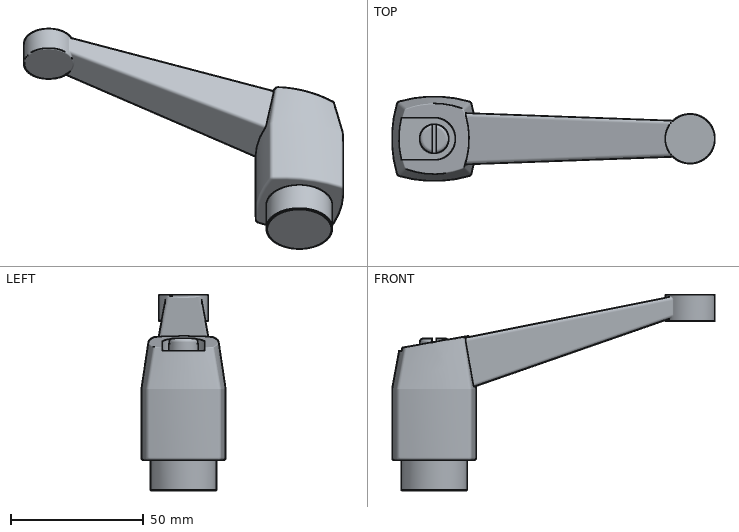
import cadquery as cq
import math


STEM_DIAMETER = 25.0
STEM_CHAMFER = 0.4

HUB_BOTTOM = 11.5
HUB_SHOULDER = 38.5
HUB_HALF_WIDTH = 16.0
HUB_HALF_CORNER = 13.9
HUB_CORNER_RADIUS = 1.7
HUB_BOTTOM_FILLET = 1.0

TOP_HEIGHT_AT_AXIS = 56.2
TOP_SLOPE = 10.0
TOP_HALF_WIDTH = 13.3
TOP_HALF_CORNER = 11.2
TOP_CORNER_RADIUS = 1.4
TOP_EDGE_FILLET = 0.4

RECESS_FLOOR = 52.8
RECESS_RADIUS = 8.0
RECESS_FLOOR_FILLET = 0.5

SCREW_DIAMETER = 11.0
SCREW_TOP = 57.5
SCREW_FILLET = 1.4
DRIVE_SLOT_WIDTH = 1.5
DRIVE_SLOT_DEPTH = 2.0

OVERALL_LENGTH = 122.0
OVERALL_HEIGHT = 74.0
KNOB_DIAMETER = 18.8
KNOB_HEIGHT = 10.0
KNOB_EDGE_FILLET = 0.4
KNOB_X = OVERALL_LENGTH - HUB_HALF_WIDTH - KNOB_DIAMETER / 2
KNOB_BOTTOM = OVERALL_HEIGHT - KNOB_HEIGHT

ARM_ROOT_X = 10.0
ARM_END_X = 91.3
ARM_ROOT_TOP = 57.45
ARM_ROOT_BOTTOM = 37.5
ARM_ROOT_HALF_WIDTH = 9.8
ARM_TOP_SLOPE = 11.3
ARM_BOTTOM_SLOPE = 19.2
ARM_SIDE_SLOPE = 2.1
ARM_TOP_FILLET = 1.5
ARM_BOTTOM_FILLET = 1.2
ARM_KNOB_FILLET = 0.4


def bulged_square(half_width, half_corner, corner_radius):
    """Flat wire of a square with four outward arcs as sides and rounded corners."""
    corners = []
    middles = []
    for quarter in range(4):
        turn = math.radians(90 * quarter)
        corner_turn = turn - math.radians(45)
        diagonal = half_corner * math.sqrt(2)
        corners.append(cq.Vector(diagonal * math.cos(corner_turn), diagonal * math.sin(corner_turn)))
        middles.append(cq.Vector(half_width * math.cos(turn), half_width * math.sin(turn)))
    sides = []
    for quarter in range(4):
        next_corner = corners[(quarter + 1) % 4]
        sides.append(cq.Edge.makeThreePointArc(corners[quarter], middles[quarter], next_corner))
    outline = cq.Wire.assembleEdges(sides)
    return outline.fillet2D(corner_radius, outline.Vertices())


def make_stem():
    stem = cq.Workplane("XY").circle(STEM_DIAMETER / 2).extrude(HUB_BOTTOM)
    return stem.faces("<Z").edges().chamfer(STEM_CHAMFER)


def make_hub():
    outline = bulged_square(HUB_HALF_WIDTH, HUB_HALF_CORNER, HUB_CORNER_RADIUS)
    bottom = outline.translate(cq.Vector(0, 0, HUB_BOTTOM))
    straight_height = cq.Vector(0, 0, HUB_SHOULDER - HUB_BOTTOM)
    straight = cq.Workplane(cq.Solid.extrudeLinear(bottom, [], straight_height))
    straight = straight.faces("<Z").edges().fillet(HUB_BOTTOM_FILLET)

    shoulder = outline.translate(cq.Vector(0, 0, HUB_SHOULDER))
    top = bulged_square(TOP_HALF_WIDTH, TOP_HALF_CORNER, TOP_CORNER_RADIUS)
    top = top.rotate(cq.Vector(0, 0, 0), cq.Vector(0, 1, 0), -TOP_SLOPE)
    top = top.translate(cq.Vector(0, 0, TOP_HEIGHT_AT_AXIS))
    taper = cq.Workplane(cq.Solid.makeLoft([shoulder, top], True))
    taper = taper.faces(">Z").edges().fillet(TOP_EDGE_FILLET)
    return straight.union(taper)


def make_arm():
    length = ARM_END_X - ARM_ROOT_X
    end_top = ARM_ROOT_TOP + length * math.tan(math.radians(ARM_TOP_SLOPE))
    end_bottom = ARM_ROOT_BOTTOM + length * math.tan(math.radians(ARM_BOTTOM_SLOPE))
    end_half_width = ARM_ROOT_HALF_WIDTH - length * math.tan(math.radians(ARM_SIDE_SLOPE))
    side_profile = [
        (ARM_ROOT_X, ARM_ROOT_BOTTOM),
        (ARM_END_X, end_bottom),
        (ARM_END_X, end_top),
        (ARM_ROOT_X, ARM_ROOT_TOP),
    ]
    plan_profile = [
        (ARM_ROOT_X, -ARM_ROOT_HALF_WIDTH),
        (ARM_END_X, -end_half_width),
        (ARM_END_X, end_half_width),
        (ARM_ROOT_X, ARM_ROOT_HALF_WIDTH),
    ]
    side = cq.Workplane("XZ").polyline(side_profile).close().extrude(ARM_ROOT_HALF_WIDTH, both=True)
    plan = cq.Workplane("XY").polyline(plan_profile).close().extrude(OVERALL_HEIGHT * 2)
    arm = side.intersect(plan)
    arm = arm.edges("not(|Y or |Z)").edges(">Z").fillet(ARM_TOP_FILLET)
    return arm.edges("not(|Y or |Z)").edges("<Z").fillet(ARM_BOTTOM_FILLET)


def make_knob():
    knob = cq.Workplane("XY", origin=(KNOB_X, 0, KNOB_BOTTOM)).circle(KNOB_DIAMETER / 2)
    return knob.extrude(KNOB_HEIGHT).edges().fillet(KNOB_EDGE_FILLET)


def make_handle():
    """Arm and knob joined, with a small fillet where the arm meets the knob's side."""
    handle = make_arm().union(make_knob())
    knob_radius = KNOB_DIAMETER / 2
    joint = cq.selectors.BoxSelector(
        (KNOB_X - knob_radius - KNOB_EDGE_FILLET, -knob_radius, KNOB_BOTTOM + KNOB_EDGE_FILLET),
        (ARM_END_X, knob_radius, OVERALL_HEIGHT - KNOB_EDGE_FILLET),
    )
    return handle.edges(joint).fillet(ARM_KNOB_FILLET)


def make_recess():
    height = OVERALL_HEIGHT - RECESS_FLOOR
    recess = (
        cq.Workplane("XY", origin=(0, 0, RECESS_FLOOR))
        .moveTo(-OVERALL_LENGTH, -RECESS_RADIUS)
        .lineTo(0, -RECESS_RADIUS)
        .threePointArc((RECESS_RADIUS, 0), (0, RECESS_RADIUS))
        .lineTo(-OVERALL_LENGTH, RECESS_RADIUS)
        .close()
        .extrude(height)
    )
    return recess.faces("<Z").edges().fillet(RECESS_FLOOR_FILLET)


def make_screw():
    height = SCREW_TOP - RECESS_FLOOR
    screw = cq.Workplane("XY", origin=(0, 0, RECESS_FLOOR)).circle(SCREW_DIAMETER / 2).extrude(height)
    screw = screw.faces(">Z").edges().fillet(SCREW_FILLET)
    slot = (
        cq.Workplane("XY", origin=(0, 0, SCREW_TOP))
        .rect(DRIVE_SLOT_WIDTH, SCREW_DIAMETER * 2)
        .extrude(-DRIVE_SLOT_DEPTH)
    )
    return screw.cut(slot)


lever = make_stem().union(make_hub()).union(make_handle())
result = lever.cut(make_recess()).union(make_screw())